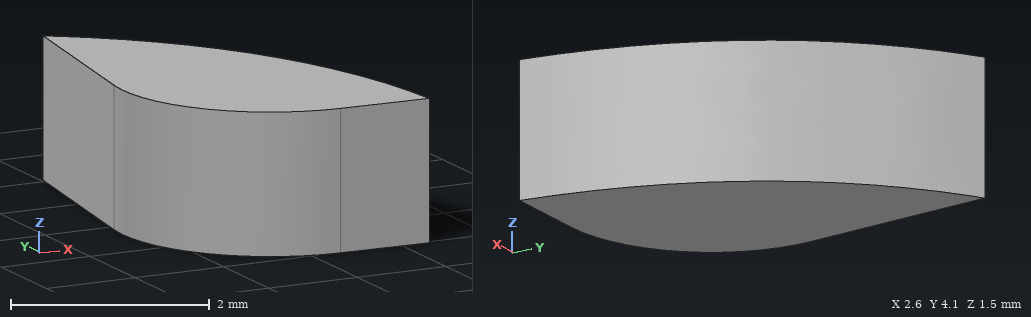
import cadquery as cq
import math

overall_width = 2.6
overall_length = 4.1
thickness = 1.5
nose_radius = 1.66
tip_drop = 1.69
apex_offset = 1.34

apex_back_angle = 32.9
tip_back_angle = 86.0
apex_handle = 1.69
tip_handle = 1.72

tip = (overall_width - nose_radius, -tip_drop)
apex = (-apex_offset, overall_length - tip_drop)


def offset_point(point, angle, distance):
    """Point at a distance from another, in a direction in degrees from +X."""
    direction = math.radians(angle)
    return (
        point[0] + distance * math.cos(direction),
        point[1] + distance * math.sin(direction),
    )


def direction_from_nose(point):
    """Angle in degrees from +X of a point seen from the nose axis."""
    return math.degrees(math.atan2(point[1], point[0])) % 360


def tangent_half_angle(point):
    """Angle at the nose axis between a point and its tangent contact."""
    return math.degrees(math.acos(nose_radius / math.hypot(*point)))


def make_profile():
    """Leaf outline: two flanks tangent to the nose, closed by the back."""
    nose_axis = (0, 0)
    apex_contact_angle = direction_from_nose(apex) + tangent_half_angle(apex)
    tip_contact_angle = direction_from_nose(tip) - tangent_half_angle(tip)
    nose_middle_angle = (apex_contact_angle + tip_contact_angle) / 2

    apex_contact = offset_point(nose_axis, apex_contact_angle, nose_radius)
    nose_middle = offset_point(nose_axis, nose_middle_angle, nose_radius)
    tip_contact = offset_point(nose_axis, tip_contact_angle, nose_radius)
    apex_control = offset_point(apex, -apex_back_angle, apex_handle)
    tip_control = offset_point(tip, -tip_back_angle, -tip_handle)

    return (
        cq.Workplane("XY")
        .moveTo(*apex)
        .lineTo(*apex_contact)
        .threePointArc(nose_middle, tip_contact)
        .lineTo(*tip)
        .bezier([tip, tip_control, apex_control, apex])
        .close()
    )


result = make_profile().extrude(thickness)